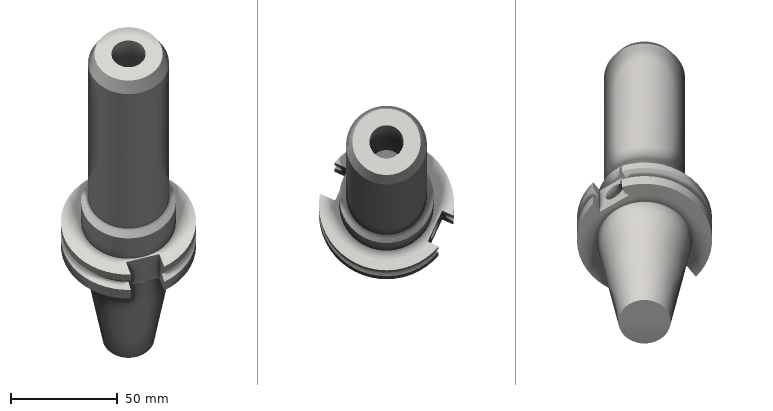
import cadquery as cq
import math


GAUGE_DIAMETER = 44.45
TAPER_LENGTH = 68.4
TAPER_RATIO = 7 / 24
SHANK_END_DIAMETER = GAUGE_DIAMETER - TAPER_LENGTH * TAPER_RATIO

NECK_HEIGHT = 1.0
NECK_DIAMETER = 43.5
FLANGE_TOP = 19.1
FLANGE_DIAMETER = 63.5

GROOVE_CENTER = 11.05
GROOVE_WIDTH = 7.0
GROOVE_FLOOR_DIAMETER = 56.5
GROOVE_FLANK_ANGLE = 26.0
GROOVE_DEPTH = (FLANGE_DIAMETER - GROOVE_FLOOR_DIAMETER) / 2
GROOVE_FLANK_HEIGHT = GROOVE_DEPTH * math.tan(math.radians(GROOVE_FLANK_ANGLE))

SLOT_WIDTH = 16.4
LEFT_SLOT_FLOOR = 25.0
RIGHT_SLOT_FLOOR = 22.8

POCKET_DIAMETER = 10.0
POCKET_DEPTH = 4.6

COLLAR_DIAMETER = 44.5
COLLAR_EDGE = 34.5
SLEEVE_DIAMETER = 38.0
COLLAR_CHAMFER = (COLLAR_DIAMETER - SLEEVE_DIAMETER) / 2
OVERALL_LENGTH = 214.3
SLEEVE_TOP = OVERALL_LENGTH - TAPER_LENGTH
NOSE_DIAMETER = 32.0
NOSE_HEIGHT = 6.5

BORE_DIAMETER = 16.0
BORE_DEPTH = 50.0


def make_body():
    """Revolve the half profile of the holder about Z."""
    groove_bottom = GROOVE_CENTER - GROOVE_WIDTH / 2
    groove_top = GROOVE_CENTER + GROOVE_WIDTH / 2
    diameters_and_heights = [
        (0, -TAPER_LENGTH),
        (SHANK_END_DIAMETER, -TAPER_LENGTH),
        (GAUGE_DIAMETER, 0),
        (NECK_DIAMETER, NECK_HEIGHT),
        (FLANGE_DIAMETER, NECK_HEIGHT),
        (FLANGE_DIAMETER, groove_bottom),
        (GROOVE_FLOOR_DIAMETER, groove_bottom + GROOVE_FLANK_HEIGHT),
        (GROOVE_FLOOR_DIAMETER, groove_top - GROOVE_FLANK_HEIGHT),
        (FLANGE_DIAMETER, groove_top),
        (FLANGE_DIAMETER, FLANGE_TOP),
        (COLLAR_DIAMETER, FLANGE_TOP),
        (COLLAR_DIAMETER, COLLAR_EDGE),
        (SLEEVE_DIAMETER, COLLAR_EDGE + COLLAR_CHAMFER),
        (SLEEVE_DIAMETER, SLEEVE_TOP - NOSE_HEIGHT),
        (NOSE_DIAMETER, SLEEVE_TOP),
        (0, SLEEVE_TOP),
    ]
    profile = [(diameter / 2, height) for diameter, height in diameters_and_heights]
    return cq.Workplane("XZ").polyline(profile).close().revolve(360, (0, 0), (0, 1))


def make_drive_slot(side, floor_distance):
    """Cutter for one drive slot; side is -1 for -X and +1 for +X."""
    length = FLANGE_DIAMETER / 2
    return (
        cq.Workplane("XY", origin=(side * (floor_distance + length / 2), 0, NECK_HEIGHT))
        .rect(length, SLOT_WIDTH)
        .extrude(FLANGE_TOP - NECK_HEIGHT)
    )


def make_pocket():
    """Cutter for the round pocket, running inward from the -X slot floor."""
    return (
        cq.Workplane("YZ", origin=(-LEFT_SLOT_FLOOR, 0, GROOVE_CENTER))
        .circle(POCKET_DIAMETER / 2)
        .extrude(POCKET_DEPTH)
    )


def make_bore():
    """Cutter for the flat-bottomed tool bore."""
    return (
        cq.Workplane("XY", origin=(0, 0, SLEEVE_TOP))
        .circle(BORE_DIAMETER / 2)
        .extrude(-BORE_DEPTH)
    )


result = (
    make_body()
    .cut(make_drive_slot(-1, LEFT_SLOT_FLOOR))
    .cut(make_drive_slot(1, RIGHT_SLOT_FLOOR))
    .cut(make_pocket())
    .cut(make_bore())
)